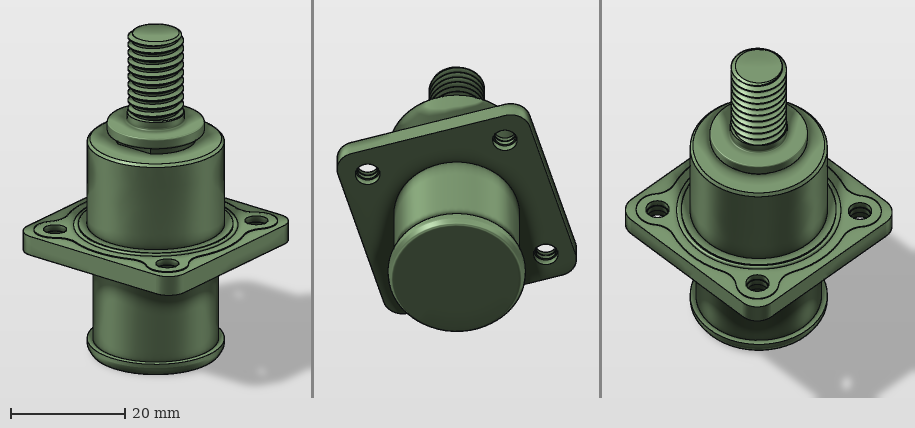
import cadquery as cq
import math

rim_top = 2.4
plate_bottom = 20.1
plate_top = 23.65
pad_top = 23.8
shoulder_top = 24.1
body_top = 40.1
collar_bottom = 41.6
collar_top = 43.55
boss_top = 45.2
stud_top = 60.15

barrel_diameter = 22.0
rim_diameter = 24.0
rim_taper_height = 1.3
rim_taper_angle = 30.0
rim_upper_round = 1.15
rim_lower_round = 0.7

plate_side = 35.0
plate_corner_radius = 3.5
hole_offset = 12.5
hole_top_diameter = 4.0
hole_middle_diameter = 3.7
hole_bottom_diameter = 4.3
hole_top_depth = 1.15
hole_middle_depth = 2.3
pad_radius = 16.05
pad_lobe_radius = 3.7
pad_blend_radius = 4.0

bead_centre_radius = 13.95
bead_radius = 0.4
bead_height = 0.35

body_bottom_diameter = 24.1
body_top_diameter = 24.0
body_top_chamfer = 0.5
neck_diameter = 14.0
neck_width_over_flats = 12.0
collar_diameter = 17.0
collar_edge_round = 0.3
boss_diameter = 10.0
boss_base_round = 0.5

thread_pitch = 1.5
thread_crest_radius = 4.9
thread_root_radius = 4.1
thread_crest_width = 0.2
thread_flank_angle = 30.0
thread_start_z = 43.5
sink = 0.1


def cylinder(diameter, bottom, top):
    return cq.Workplane("XY").workplane(offset=bottom).circle(diameter / 2).extrude(top - bottom)


def make_barrel():
    """Barrel with a wider rim that tapers towards the bottom face."""
    taper_inset = rim_taper_height * math.tan(math.radians(rim_taper_angle))
    rim_radius = rim_diameter / 2
    rim = (
        cq.Workplane("XZ")
        .polyline([
            (0, 0),
            (rim_radius - taper_inset, 0),
            (rim_radius, rim_taper_height),
            (rim_radius, rim_top),
            (0, rim_top),
        ])
        .close()
        .revolve(360, (0, 0), (0, 1))
    )
    rim = rim.faces("<Z").edges().fillet(rim_lower_round)
    at_taper_top = cq.selectors.BoxSelector(
        (-rim_radius, -rim_radius, rim_taper_height - 0.05),
        (2 * rim_radius, rim_radius, rim_taper_height + 0.05),
        boundingbox=False,
    )
    rim = rim.edges("%CIRCLE").edges(at_taper_top).fillet(rim_upper_round)
    return rim.union(cylinder(barrel_diameter, rim_top, plate_bottom))


def make_pad():
    """Disc with four lobes around the holes, blended by concave arcs."""
    corner_distance = hole_offset * math.sqrt(2)
    to_disc = pad_radius + pad_blend_radius
    to_lobe = pad_lobe_radius + pad_blend_radius
    cosine = (corner_distance**2 + to_disc**2 - to_lobe**2) / (2 * corner_distance * to_disc)
    blend_angle = math.acos(cosine)

    def polar(radius, angle):
        return cq.Vector(radius * math.cos(angle), radius * math.sin(angle))

    def toward(start, end, distance):
        return start + (end - start).normalized() * distance

    def arc(sketch, middle, end):
        return sketch.threePointArc((middle.x, middle.y), (end.x, end.y))

    outline = cq.Workplane("XY").workplane(offset=plate_top)
    for corner in range(4):
        diagonal = math.pi / 4 + corner * math.pi / 2
        lobe = polar(corner_distance, diagonal)
        before = polar(to_disc, diagonal - blend_angle)
        after = polar(to_disc, diagonal + blend_angle)
        disc_end = polar(pad_radius, diagonal - blend_angle)
        next_disc_end = polar(pad_radius, diagonal + math.pi / 2 - blend_angle)
        if corner == 0:
            outline = outline.moveTo(disc_end.x, disc_end.y)

        lobe_start = toward(lobe, before, pad_lobe_radius)
        lobe_end = toward(lobe, after, pad_lobe_radius)
        disc_start = polar(pad_radius, diagonal + blend_angle)
        outline = arc(outline, toward(before, (disc_end + lobe_start) / 2, pad_blend_radius), lobe_start)
        outline = arc(outline, polar(corner_distance + pad_lobe_radius, diagonal), lobe_end)
        outline = arc(outline, toward(after, (lobe_end + disc_start) / 2, pad_blend_radius), disc_start)
        outline = arc(outline, polar(pad_radius, diagonal + math.pi / 4), next_disc_end)
    return outline.close().extrude(pad_top - plate_top)


def make_bead():
    """Round sealing ring, partly sunk into the pad."""
    centre_z = pad_top + bead_height - bead_radius
    return (
        cq.Workplane("XZ")
        .center(bead_centre_radius, centre_z)
        .circle(bead_radius)
        .revolve(360, (-bead_centre_radius, 0), (-bead_centre_radius, 1))
    )


def make_plate():
    """Square plate with its pad, shoulder, bead and four stepped holes."""
    thickness = plate_top - plate_bottom
    plate = (
        cq.Workplane("XY")
        .workplane(offset=plate_bottom)
        .rect(plate_side, plate_side)
        .extrude(thickness)
        .edges("|Z")
        .fillet(plate_corner_radius)
        .union(make_pad())
        .union(cylinder(2 * (bead_centre_radius - bead_radius), pad_top, shoulder_top))
        .union(make_bead())
    )
    steps = [
        (hole_top_diameter, pad_top - hole_top_depth, pad_top),
        (hole_middle_diameter, pad_top - hole_middle_depth, pad_top - hole_top_depth),
        (hole_bottom_diameter, plate_bottom, pad_top - hole_middle_depth),
    ]
    for diameter, bottom, top in steps:
        for x in (-hole_offset, hole_offset):
            for y in (-hole_offset, hole_offset):
                plate = plate.cut(cylinder(diameter, bottom, top).translate((x, y, 0)))
    return plate


def make_head():
    """Upper body, flatted neck, collar and stud boss."""
    body = (
        cq.Workplane("XY")
        .workplane(offset=plate_top)
        .circle(body_bottom_diameter / 2)
        .workplane(offset=body_top - plate_top)
        .circle(body_top_diameter / 2)
        .loft()
        .faces(">Z")
        .edges()
        .chamfer(body_top_chamfer)
    )
    flats = cq.Workplane("XY").box(neck_diameter, neck_width_over_flats, 2 * stud_top)
    neck = cylinder(neck_diameter, body_top, collar_bottom).intersect(flats)
    collar = cylinder(collar_diameter, collar_bottom, collar_top).edges().fillet(collar_edge_round)
    boss = cylinder(boss_diameter, collar_top, boss_top)
    boss_joint = cq.selectors.RadiusNthSelector(0)
    collar = collar.union(boss).faces(">Z[1]").edges(boss_joint).fillet(boss_base_round)
    return body.union(neck).union(collar)


def make_stud():
    """Right-handed thread on a core, chamfered at the top."""
    length = stud_top - thread_start_z + thread_pitch
    flank = math.tan(math.radians(thread_flank_angle))
    inner_radius = thread_root_radius - sink
    half_crest = thread_crest_width / 2
    half_base = half_crest + (thread_crest_radius - inner_radius) * flank
    helix = cq.Wire.makeHelix(thread_pitch, length, inner_radius)
    ridge = (
        cq.Workplane("XZ")
        .polyline([
            (inner_radius, -half_base),
            (thread_crest_radius, -half_crest),
            (thread_crest_radius, half_crest),
            (inner_radius, half_base),
        ])
        .close()
        .sweep(cq.Workplane(helix), isFrenet=True)
        .translate((0, 0, thread_start_z))
    )
    core = cylinder(2 * thread_root_radius, collar_top, stud_top)
    cone_reach = thread_pitch
    envelope = (
        cylinder(2 * (thread_root_radius + cone_reach), 0, stud_top)
        .faces(">Z")
        .edges()
        .chamfer(cone_reach * flank, cone_reach)
    )
    return core.union(ridge.intersect(envelope))


result = make_barrel().union(make_plate()).union(make_head()).union(make_stud())